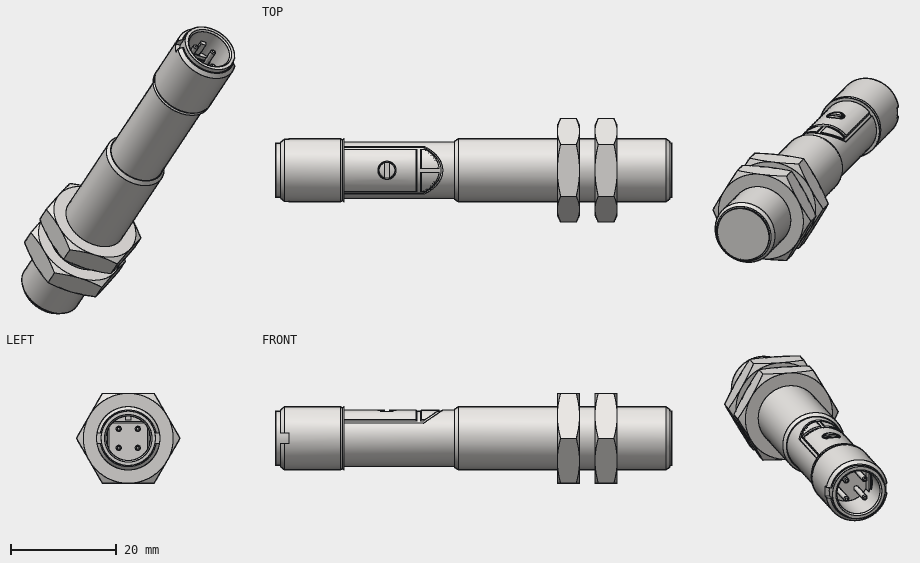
import cadquery as cq
import math


total_length = 75.0
outer_diameter = 12.0

sleeve_diameter = 10.3
collar_start = 0.9
collar_chamfer_diameter = 10.7
collar_chamfer_length = 0.75
collar_groove_start = 12.3
collar_groove_diameter = 11.55
collar_end = 13.0
key_slot_width = 2.0
key_slot_end = 2.55

mouth_diameter = 9.0
socket_diameter = 8.4
mouth_chamfer_length = 0.3
socket_step = 6.0
socket_depth = 9.0
flat_half_width = 3.7
flat_height = 2.9
flat_ledge_width = 0.3
flat_ledge_end = 6.75
key_width = 1.0
key_bottom = 3.45
key_start = 3.0
pin_diameter = 1.0
pin_offset = 1.8
pin_tip = 2.3
pin_tip_chamfer = 0.2

shank_diameter = 10.7
barrel_start = 33.8
barrel_chamfer_diameter = 10.95
barrel_chamfer_length = 0.75
nose_diameter = 10.35
nose_length = 0.4

recess_floor_diameter = 10.3
recess_edge_angle = 33.0
recess_slope_start = 28.0
recess_slope_base = 2.85
recess_slope_angle = 34.4
panel_half_width = 4.0
panel_end = 26.8
pad_start = 27.4
cross_gap_bevel = 0.2
pad_end_clearance = 0.7
pad_gap = 0.75

screw_position = 21.1
screw_hole_diameter = 3.45
screw_diameter = 3.0
screw_groove_depth = 0.3
screw_slot_width = 0.9
screw_slot_depth = 0.4

nut_flats = 17.0
nut_thickness = 4.2
nut_starts = (53.3, 60.45)
nut_chamfer_angle = 25.0

outer_radius = outer_diameter / 2
shank_radius = shank_diameter / 2
barrel_end = total_length - nose_length


def turned(profile):
    """Solid of revolution about X from (x, radius) points that start and end on the axis."""
    return cq.Workplane("XY").polyline(profile).close().revolve(360, (0, 0, 0), (1, 0, 0))


def rod(diameter, start, end):
    """Cylinder on the X axis."""
    return cq.Workplane("YZ").workplane(offset=start).circle(diameter / 2).extrude(end - start)


def block(x_range, y_range, z_range):
    """Box between the given limits."""
    low, high = zip(x_range, y_range, z_range)
    size = [b - a for a, b in zip(low, high)]
    return cq.Workplane("XY").box(*size, centered=False).translate(low)


def outer_form():
    """The turned outside, from the connector end to the nose."""
    groove_middle = (collar_groove_start + collar_end) / 2
    return turned([
        (0, 0),
        (0, sleeve_diameter / 2),
        (collar_start, sleeve_diameter / 2),
        (collar_start, collar_chamfer_diameter / 2),
        (collar_start + collar_chamfer_length, outer_radius),
        (collar_groove_start, outer_radius),
        (groove_middle, collar_groove_diameter / 2),
        (collar_end, outer_radius),
        (collar_end, shank_radius),
        (barrel_start, shank_radius),
        (barrel_start, barrel_chamfer_diameter / 2),
        (barrel_start + barrel_chamfer_length, outer_radius),
        (barrel_end - barrel_chamfer_length, outer_radius),
        (barrel_end, barrel_chamfer_diameter / 2),
        (barrel_end, nose_diameter / 2),
        (total_length, nose_diameter / 2),
        (total_length, 0),
    ])


def collar_key_slots():
    """Slots in both sides of the collar rim, down to the sleeve."""
    half = key_slot_width / 2
    slots = block((collar_start, key_slot_end), (-outer_radius, outer_radius), (-half, half))
    return slots.cut(rod(sleeve_diameter, 0, key_slot_end))


def flat_sided_bore(start, end, widening):
    """Round bore with flats at both sides and on top, each moved outward by the widening."""
    half_width = flat_half_width + widening
    top = flat_height + widening
    limits = block((start, end), (-half_width, half_width), (-socket_diameter / 2, top))
    return rod(socket_diameter, start, end).intersect(limits)


def socket():
    """Chamfered round socket with a key rib, narrowing in two steps to a flat-sided part."""
    radius = socket_diameter / 2
    mouth = turned([
        (0, 0),
        (0, mouth_diameter / 2),
        (mouth_chamfer_length, radius),
        (socket_step, radius),
        (socket_step, 0),
    ])
    ledge_part = flat_sided_bore(socket_step, flat_ledge_end, flat_ledge_width)
    deep_part = flat_sided_bore(flat_ledge_end, socket_depth, 0)
    key = block((key_start, socket_step), (-key_width / 2, key_width / 2), (key_bottom, radius))
    return mouth.cut(key).union(ledge_part).union(deep_part)


def contact_pins():
    """Four pins standing on the socket floor."""
    return (
        cq.Workplane("YZ")
        .workplane(offset=pin_tip)
        .rect(2 * pin_offset, 2 * pin_offset, forConstruction=True)
        .vertices()
        .circle(pin_diameter / 2)
        .extrude(socket_depth - pin_tip)
        .faces("<X")
        .chamfer(pin_tip_chamfer)
    )


def shallow_shell(start, end):
    """Layer between the recess floor and the shank surface."""
    return rod(shank_diameter, start, end).cut(rod(recess_floor_diameter, start, end))


def slant_limit(start_x, half_width):
    """Space above the axis that ends at the slanted plane, start_x being its place at the base."""
    rise = outer_radius - recess_slope_base
    run = rise / math.tan(math.radians(recess_slope_angle))
    return (
        cq.Workplane("XZ")
        .polyline([
            (collar_end, 0),
            (start_x, 0),
            (start_x, recess_slope_base),
            (start_x + run, outer_radius),
            (collar_end, outer_radius),
        ])
        .close()
        .extrude(half_width, both=True)
    )


def window_recess():
    """Recess with radial long edges and a slanted end."""
    edge_angle = math.radians(recess_edge_angle)
    wedge_y = outer_radius
    wedge_z = wedge_y * math.tan(edge_angle)
    sector = (
        cq.Workplane("YZ")
        .polyline([
            (0, 0),
            (wedge_y, wedge_z),
            (wedge_y, outer_radius),
            (-wedge_y, outer_radius),
            (-wedge_y, wedge_z),
        ])
        .close()
        .extrude(barrel_start)
    )
    limit = slant_limit(recess_slope_start, outer_radius)
    return shallow_shell(collar_end, barrel_start).intersect(sector).intersect(limit)


def window_panels():
    """Long panel and two end pads, flush with the shank."""
    limit = slant_limit(recess_slope_start - pad_end_clearance, panel_half_width)
    raised = shallow_shell(collar_end, barrel_start).intersect(limit)
    floor_radius = recess_floor_diameter / 2
    cross_gap = turned([
        (panel_end, 0),
        (panel_end, floor_radius),
        (panel_end - cross_gap_bevel, shank_radius),
        (pad_start + cross_gap_bevel, shank_radius),
        (pad_start, floor_radius),
        (pad_start, 0),
    ])
    middle_gap = block((pad_start, barrel_start), (-pad_gap / 2, pad_gap / 2), (0, outer_radius))
    return raised.cut(cross_gap).cut(middle_gap)


def adjusting_screw_cuts():
    """Ring groove round the screw and the slot across its head."""
    top = cq.Workplane("XY").center(screw_position, 0)
    ring_floor = shank_radius - screw_groove_depth
    slot_floor = shank_radius - screw_slot_depth
    ring = (
        top.workplane(offset=ring_floor)
        .circle(screw_hole_diameter / 2)
        .circle(screw_diameter / 2)
        .extrude(screw_groove_depth)
    )
    slot = (
        top.workplane(offset=slot_floor)
        .rect(screw_slot_width, screw_diameter)
        .extrude(screw_slot_depth)
    )
    return ring.union(slot)


def make_sensor():
    return (
        outer_form()
        .cut(collar_key_slots())
        .cut(socket())
        .union(contact_pins())
        .cut(window_recess().cut(window_panels()))
        .cut(adjusting_screw_cuts())
    )


def make_nut(start):
    """Hexagon nut with two flats facing up and down and both faces chamfered at the corners."""
    end = start + nut_thickness
    flat_radius = nut_flats / 2
    corner_radius = flat_radius / math.cos(math.radians(30))
    chamfer = (corner_radius - flat_radius) * math.tan(math.radians(nut_chamfer_angle))
    hexagon = (
        cq.Workplane("YZ")
        .workplane(offset=start)
        .polygon(6, 2 * corner_radius)
        .extrude(nut_thickness)
    )
    chamfered_disc = turned([
        (start, 0),
        (start, flat_radius),
        (start + chamfer, corner_radius),
        (end - chamfer, corner_radius),
        (end, flat_radius),
        (end, 0),
    ])
    return hexagon.intersect(chamfered_disc).cut(rod(outer_diameter, start, end))


sensor = make_sensor()
nuts = [make_nut(start) for start in nut_starts]

result = cq.Compound.makeCompound([sensor.val(), *[nut.val() for nut in nuts]])